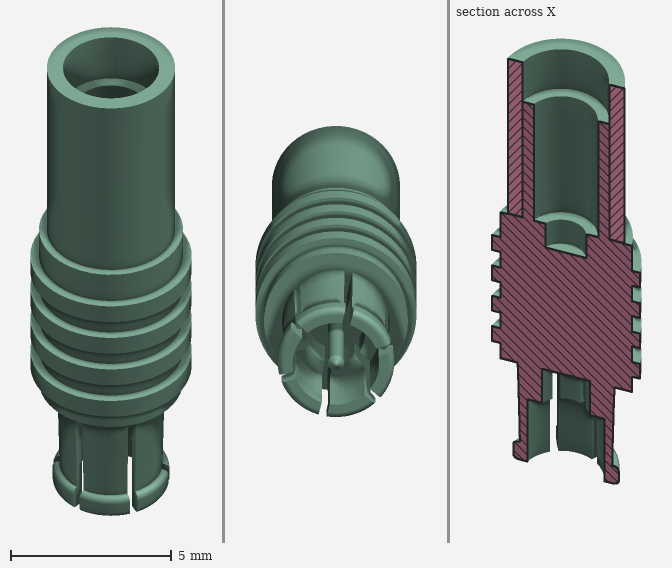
import cadquery as cq

overall_height = 16.81

sleeve_length = 6.5
sleeve_radius = 2.0
sleeve_bore_radius = 1.5

grip_radius = 2.245
rib_radius = 2.515
rib_count = 4
rib_width = 0.635
rib_pitch = 2 * rib_width
plain_band_height = 1.05
shoulder_z = overall_height - sleeve_length
grip_bottom_z = shoulder_z - plain_band_height - rib_count * rib_pitch

barrel_recess = 1.65
barrel_bore_radius = 1.15
core_bore_radius = 0.8
core_bore_depth = 1.0
barrel_top_z = overall_height - barrel_recess

finger_bottom_z = 0.15
finger_root_radius = 1.68
finger_tip_radius = 1.59
finger_bore_radius = 1.35
inner_bore_radius = 0.9
bore_step_z = 2.75
collar_radius = 1.82
collar_height = 0.76
collar_round = 0.2
slot_count = 6
slot_width = 0.26

pin_radius = 0.25
pin_point_height = 0.22


def cylinder(radius, bottom_z, top_z):
    """Cylinder about the Z axis between two heights."""
    return cq.Workplane("XY").workplane(offset=bottom_z).circle(radius).extrude(top_z - bottom_z)


def make_sleeve():
    """Crimp sleeve that slides over the barrel."""
    outside = cylinder(sleeve_radius, shoulder_z, overall_height)
    return outside.cut(cylinder(sleeve_bore_radius, shoulder_z, overall_height))


def make_grip():
    """Round grip with evenly spaced ribs below a plain band."""
    grip = cylinder(grip_radius, grip_bottom_z, shoulder_z)
    for index in range(rib_count):
        rib_top_z = shoulder_z - plain_band_height - index * rib_pitch
        grip = grip.union(cylinder(rib_radius, rib_top_z - rib_width, rib_top_z))
    return grip


def make_barrel():
    """Crimp barrel inside the sleeve, ending below the sleeve rim."""
    return cylinder(sleeve_bore_radius, shoulder_z, barrel_top_z)


def make_cable_bore():
    """Stepped bore for the cable, open at the top of the barrel."""
    wide_bore = cylinder(barrel_bore_radius, shoulder_z, barrel_top_z)
    narrow_bore = cylinder(core_bore_radius, shoulder_z - core_bore_depth, shoulder_z)
    return wide_bore.union(narrow_bore)


def make_fingers():
    """Tapered skirt with a rounded collar, hollowed by a stepped bore and slotted."""
    skirt = (
        cq.Workplane("XZ")
        .moveTo(0, finger_bottom_z)
        .lineTo(finger_tip_radius, finger_bottom_z)
        .lineTo(finger_root_radius, grip_bottom_z)
        .lineTo(0, grip_bottom_z)
        .close()
        .revolve(360, (0, 0), (0, 1))
    )
    collar = cylinder(collar_radius, finger_bottom_z, finger_bottom_z + collar_height)
    collar = collar.edges().fillet(collar_round)
    skirt = skirt.intersect(cylinder(finger_root_radius, finger_bottom_z + collar_round, grip_bottom_z))
    fingers = skirt.union(collar)
    wide_bore = cylinder(finger_bore_radius, finger_bottom_z, bore_step_z)
    inner_bore = cylinder(inner_bore_radius, bore_step_z, grip_bottom_z)
    fingers = fingers.cut(wide_bore).cut(inner_bore)
    slot = cq.Workplane("XY").box(
        slot_width, 2 * collar_radius, grip_bottom_z, centered=(True, True, False)
    )
    for index in range(slot_count // 2):
        fingers = fingers.cut(slot.rotate((0, 0, 0), (0, 0, 1), index * 360 / slot_count))
    return fingers


def make_pin():
    """Contact pin with a conical point at its lower end."""
    return (
        cq.Workplane("XZ")
        .polyline(
            [(0, 0), (pin_radius, pin_point_height), (pin_radius, grip_bottom_z), (0, grip_bottom_z)]
        )
        .close()
        .revolve(360, (0, 0), (0, 1))
    )


def make_connector():
    """Connector body: grip, barrel, spring fingers and contact pin."""
    connector = make_grip().union(make_barrel()).cut(make_cable_bore())
    return connector.union(make_fingers()).union(make_pin())


sleeve = make_sleeve()
connector = make_connector()

result = cq.Compound.makeCompound([sleeve.val(), connector.val()])